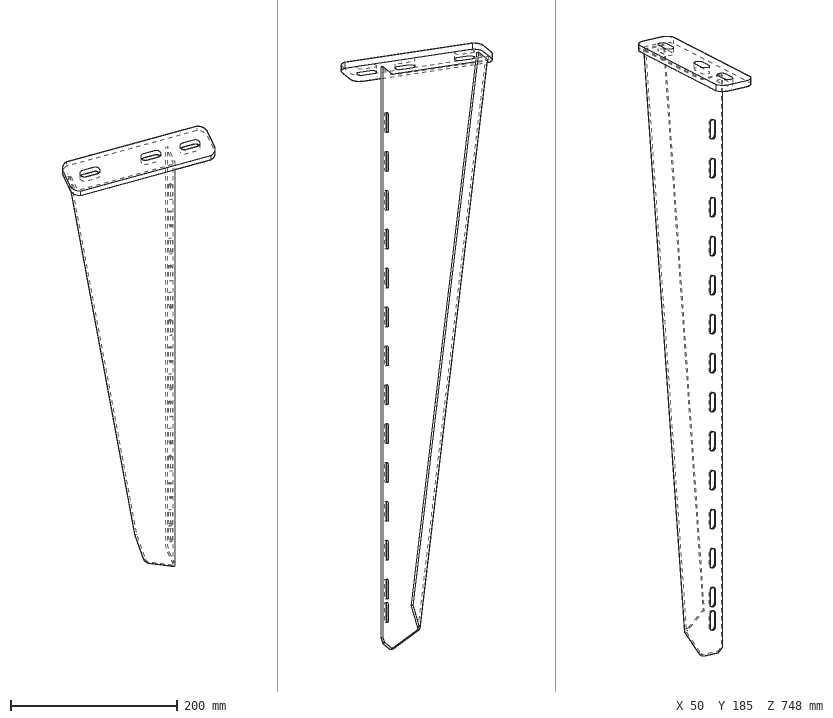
import cadquery as cq
import math

TOTAL_HEIGHT = 748.0

PLATE_WIDTH = 50.0
PLATE_LENGTH = 185.0
PLATE_THICKNESS = 8.0
CORNER_ACROSS = 12.5
CORNER_ALONG = 9.0
CORNER_RADIUS = 13.5
PLATE_SLOT_WIDTH = 11.0
PLATE_SLOT_LENGTH = 25.0
PLATE_SLOT_CENTRES_Y = (65.5, 15.5, -62.5)

SHEET = 2.5
INNER_BEND_RADIUS = 2.5
OUTER_BEND_RADIUS = INNER_BEND_RADIUS + SHEET
FLANGE_EDGE_X = -12.5
WEB_OUTER_X = 18.5
BACK_Y = 41.5
DEPTH_AT_TOP = 128.0
DEPTH_AT_BOTTOM = 37.0
ARM_TOP_Z = -PLATE_THICKNESS
ARM_BOTTOM_Z = -TOTAL_HEIGHT
ARM_HEIGHT = ARM_TOP_Z - ARM_BOTTOM_Z

END_CUT_SLOPE = math.tan(math.radians(30.0))
FLANGE_CUT_RISE = 20.0
BACK_CORNER_CHAMFER = 6.0

ARM_SLOT_WIDTH = 7.5
ARM_SLOT_LENGTH = 25.0
ARM_SLOT_X = 1.5
ARM_SLOT_PITCH = 50.0
ARM_SLOT_COUNT = 13
END_SLOT_SPACING = 30.0
END_SLOT_HEIGHT = 43.0

CUT_MARGIN = 10.0


def make_head_plate():
    """Mounting plate with rounded corners and three lengthwise slots."""
    half_width = PLATE_WIDTH / 2
    half_length = PLATE_LENGTH / 2
    flat_x = half_width - CORNER_ACROSS
    flat_y = half_length - CORNER_ALONG
    plate = (
        cq.Workplane("XY")
        .workplane(offset=-PLATE_THICKNESS)
        .moveTo(half_width, -flat_y)
        .lineTo(half_width, flat_y)
        .radiusArc((flat_x, half_length), -CORNER_RADIUS)
        .lineTo(-flat_x, half_length)
        .radiusArc((-half_width, flat_y), -CORNER_RADIUS)
        .lineTo(-half_width, -flat_y)
        .radiusArc((-flat_x, -half_length), -CORNER_RADIUS)
        .lineTo(flat_x, -half_length)
        .radiusArc((half_width, -flat_y), -CORNER_RADIUS)
        .close()
        .extrude(PLATE_THICKNESS)
    )
    slots = (
        cq.Workplane("XY")
        .pushPoints([(0, y) for y in PLATE_SLOT_CENTRES_Y])
        .slot2D(PLATE_SLOT_LENGTH, PLATE_SLOT_WIDTH, 90)
        .extrude(-PLATE_THICKNESS)
    )
    return plate.cut(slots)


def tapered_block(back_inset, front_inset, start_x, end_x, bend_radius):
    """Tapered block along X with its long edges at the end_x face rounded."""
    back = BACK_Y - back_inset
    front_top = BACK_Y - DEPTH_AT_TOP + front_inset
    front_bottom = BACK_Y - DEPTH_AT_BOTTOM + front_inset
    return (
        cq.Workplane("YZ", origin=(start_x, 0, 0))
        .moveTo(back, ARM_TOP_Z)
        .lineTo(back, ARM_BOTTOM_Z)
        .lineTo(front_bottom, ARM_BOTTOM_Z)
        .lineTo(front_top, ARM_TOP_Z)
        .close()
        .extrude(end_x - start_x)
        .faces(">X")
        .edges("not |Y")
        .fillet(bend_radius)
    )


def make_channel():
    """Open channel whose front flange leans back toward the foot."""
    taper = math.atan((DEPTH_AT_TOP - DEPTH_AT_BOTTOM) / ARM_HEIGHT)
    front_wall = SHEET / math.cos(taper)
    outside = tapered_block(0, 0, FLANGE_EDGE_X, WEB_OUTER_X, OUTER_BEND_RADIUS)
    inside = tapered_block(
        SHEET, front_wall, FLANGE_EDGE_X, WEB_OUTER_X - SHEET, INNER_BEND_RADIUS
    )
    return outside.cut(inside)


def end_cut():
    """Wedge that slants the lower end upward from the back flange to the front."""
    run = DEPTH_AT_TOP
    rise = run * END_CUT_SLOPE
    return (
        cq.Workplane("YZ", origin=(FLANGE_EDGE_X, 0, 0))
        .moveTo(BACK_Y, ARM_BOTTOM_Z)
        .lineTo(BACK_Y - run, ARM_BOTTOM_Z + rise)
        .lineTo(BACK_Y - run, ARM_BOTTOM_Z)
        .close()
        .extrude(WEB_OUTER_X - FLANGE_EDGE_X)
    )


def front_flange_cut():
    """Wedge that slants the lower end of the front flange up toward its free edge."""
    flange_root_x = WEB_OUTER_X - OUTER_BEND_RADIUS
    root_z = ARM_BOTTOM_Z + DEPTH_AT_BOTTOM * END_CUT_SLOPE
    reach = DEPTH_AT_TOP - SHEET - CUT_MARGIN
    return (
        cq.Workplane("XZ", origin=(0, BACK_Y - SHEET - CUT_MARGIN, 0))
        .moveTo(flange_root_x, root_z)
        .lineTo(FLANGE_EDGE_X, root_z + FLANGE_CUT_RISE)
        .lineTo(FLANGE_EDGE_X, ARM_BOTTOM_Z)
        .lineTo(flange_root_x, ARM_BOTTOM_Z)
        .close()
        .extrude(reach)
    )


def back_corner_cut():
    """Corner chamfer at the foot of the back flange's free edge."""
    return (
        cq.Workplane("XZ", origin=(0, BACK_Y, 0))
        .moveTo(FLANGE_EDGE_X, ARM_BOTTOM_Z)
        .lineTo(FLANGE_EDGE_X + BACK_CORNER_CHAMFER, ARM_BOTTOM_Z)
        .lineTo(FLANGE_EDGE_X, ARM_BOTTOM_Z + BACK_CORNER_CHAMFER)
        .close()
        .extrude(SHEET)
    )


def back_flange_slots():
    """Cutters for the upright slots through the back flange."""
    end_z = ARM_BOTTOM_Z + END_SLOT_HEIGHT
    row_start_z = end_z + END_SLOT_SPACING
    centres = [(ARM_SLOT_X, end_z)]
    for index in range(ARM_SLOT_COUNT):
        centres.append((ARM_SLOT_X, row_start_z + index * ARM_SLOT_PITCH))
    return (
        cq.Workplane("XZ", origin=(0, BACK_Y, 0))
        .pushPoints(centres)
        .slot2D(ARM_SLOT_LENGTH, ARM_SLOT_WIDTH, 90)
        .extrude(SHEET)
    )


def make_arm():
    """Channel with its lower end trimmed and its back flange slotted."""
    arm = make_channel()
    for cutter in (end_cut(), front_flange_cut(), back_corner_cut(), back_flange_slots()):
        arm = arm.cut(cutter)
    return arm


head_plate = make_head_plate()
arm = make_arm()

result = cq.Compound.makeCompound([head_plate.val(), arm.val()])